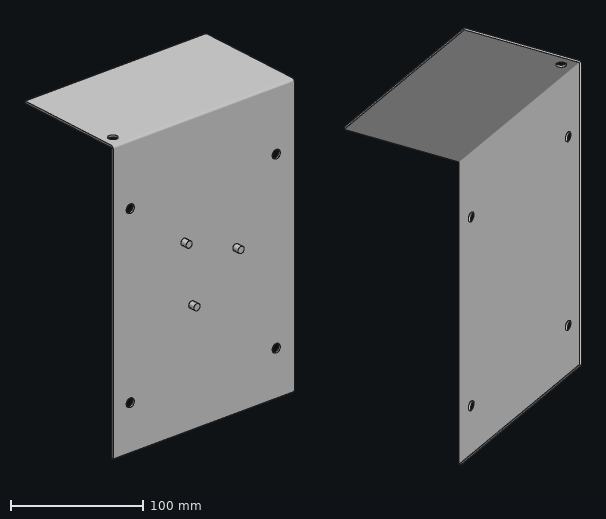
import cadquery as cq

height = 263.0
width = 180.0
overall_depth = 109.0
sheet_thickness = 2.0
inner_bend_radius = 0.5
outer_bend_radius = inner_bend_radius + sheet_thickness

stud_length = 6.0
stud_diameter = 6.0
stud_count = 3
stud_circle_radius = 32.0
stud_circle_height = 135.2
first_stud_angle = 8.0

flange_depth = overall_depth - stud_length

hole_diameter = 8.0
wall_hole_spacing_y = 145.0
wall_hole_spacing_z = 163.0
lower_wall_hole_height = 42.0
wall_hole_shift_y = -0.5
flange_hole_from_wall = 12.0
flange_hole_from_side = 10.0


def make_bent_sheet():
    """L-shaped profile with sharp corners, then both faces of the bend rounded."""
    sheet = (
        cq.Workplane("XZ")
        .moveTo(0, 0)
        .lineTo(0, height)
        .lineTo(-flange_depth, height)
        .lineTo(-flange_depth, height - sheet_thickness)
        .lineTo(-sheet_thickness, height - sheet_thickness)
        .lineTo(-sheet_thickness, 0)
        .close()
        .extrude(width / 2, both=True)
    )
    outer_corner = cq.selectors.NearestToPointSelector((0, 0, height))
    inner_corner = cq.selectors.NearestToPointSelector(
        (-sheet_thickness, 0, height - sheet_thickness)
    )
    sheet = sheet.edges("|Y").edges(outer_corner).fillet(outer_bend_radius)
    return sheet.edges("|Y").edges(inner_corner).fillet(inner_bend_radius)


def make_wall_holes():
    """Four cutters along X, one for each corner of a rectangle on the wall."""
    middle_height = lower_wall_hole_height + wall_hole_spacing_z / 2
    return (
        cq.Workplane("YZ", origin=(0, wall_hole_shift_y, middle_height))
        .rarray(wall_hole_spacing_y, wall_hole_spacing_z, 2, 2)
        .circle(hole_diameter / 2)
        .extrude(-sheet_thickness)
    )


def make_flange_hole():
    """One cutter along Z near the -Y end of the flange, close to the bend."""
    center = (-flange_hole_from_wall, flange_hole_from_side - width / 2, height)
    return (
        cq.Workplane("XY", origin=center)
        .circle(hole_diameter / 2)
        .extrude(-sheet_thickness)
    )


def make_studs():
    """Studs rooted inside the wall and standing out toward +X."""
    return (
        cq.Workplane("YZ", origin=(-sheet_thickness / 2, 0, stud_circle_height))
        .polarArray(stud_circle_radius, first_stud_angle, 360, stud_count)
        .circle(stud_diameter / 2)
        .extrude(sheet_thickness / 2 + stud_length)
    )


result = (
    make_bent_sheet()
    .cut(make_wall_holes())
    .cut(make_flange_hole())
    .union(make_studs())
)